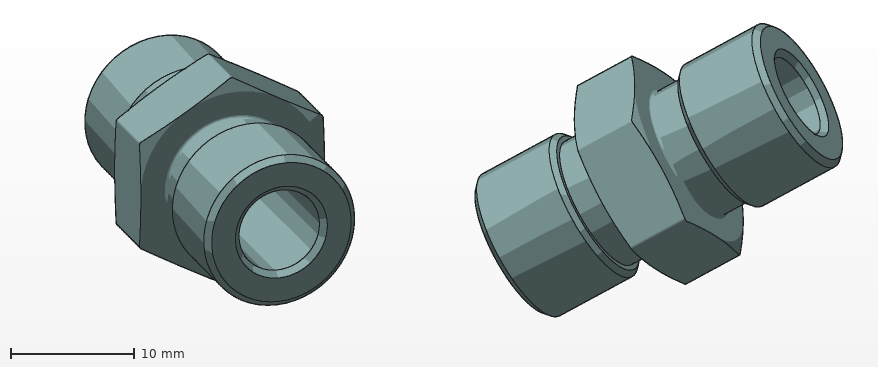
import cadquery as cq
import math

length = 27.8
thread_length = 8.0
neck_length = 2.95
half_length = length / 2
thread_start = half_length - thread_length
hex_half_width = thread_start - neck_length

thread_radius = 13.15 / 2
neck_radius = 11.4 / 2
bore_radius = 7.0 / 2
end_chamfer = 0.5
shoulder_chamfer = 0.45
bore_chamfer = 0.5
neck_root_fillet = 0.25

flat_radius = 16.0 / 2
corner_radius = flat_radius / math.cos(math.radians(30))
hex_edge_fillet = 0.35
hex_chamfer_angle = 15.0


def spin(profile):
    """Close a half profile in the XY plane and revolve it about the X axis."""
    return profile.close().revolve(360, (0, 0, 0), (1, 0, 0))


def hexagon():
    """Hexagonal collar with rounded edges and conically chamfered corners."""
    blank = (
        cq.Workplane("YZ")
        .polygon(6, 2 * corner_radius)
        .extrude(hex_half_width, both=True)
        .rotate((0, 0, 0), (1, 0, 0), 90)
        .edges("|X")
        .fillet(hex_edge_fillet)
    )
    corner_drop = (corner_radius - flat_radius) * math.tan(math.radians(hex_chamfer_angle))
    envelope = spin(
        cq.Workplane("XY")
        .moveTo(-hex_half_width, 0)
        .lineTo(-hex_half_width, flat_radius)
        .lineTo(-hex_half_width + corner_drop, corner_radius)
        .lineTo(hex_half_width - corner_drop, corner_radius)
        .lineTo(hex_half_width, flat_radius)
        .lineTo(hex_half_width, 0)
    )
    return blank.intersect(envelope)


def threaded_end():
    """Neck and chamfered thread cylinder on the +X end, filleted at the hexagon face."""
    return spin(
        cq.Workplane("XY")
        .lineTo(hex_half_width, 0)
        .lineTo(hex_half_width, neck_radius + neck_root_fillet)
        .radiusArc((hex_half_width + neck_root_fillet, neck_radius), -neck_root_fillet)
        .lineTo(thread_start, neck_radius)
        .lineTo(thread_start, thread_radius - shoulder_chamfer)
        .lineTo(thread_start + shoulder_chamfer, thread_radius)
        .lineTo(half_length - end_chamfer, thread_radius)
        .lineTo(half_length, thread_radius - end_chamfer)
        .lineTo(half_length, 0)
    )


def bore():
    """Through bore with a countersink at each end."""
    mouth_radius = bore_radius + bore_chamfer
    return spin(
        cq.Workplane("XY")
        .moveTo(-half_length, 0)
        .lineTo(-half_length, mouth_radius)
        .lineTo(-half_length + bore_chamfer, bore_radius)
        .lineTo(half_length - bore_chamfer, bore_radius)
        .lineTo(half_length, mouth_radius)
        .lineTo(half_length, 0)
    )


right_end = threaded_end()
left_end = right_end.mirror("YZ")
result = hexagon().union(right_end).union(left_end).cut(bore())